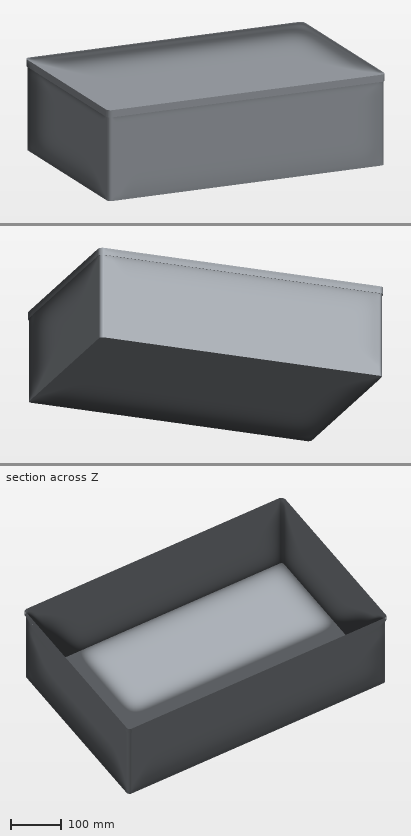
import cadquery as cq

lid_width = 400.0
lid_length = 610.0
total_height = 190.0

sheet_thickness = 1.0

lid_height = 15.0
lid_corner_radius = 10.0

lid_overhang = 2.5

box_width = lid_width - 2 * lid_overhang
box_length = lid_length - 2 * lid_overhang
box_height = total_height - sheet_thickness
box_corner_radius = lid_corner_radius - lid_overhang


def rounded_block(width, length, height, corner_radius, base_z):
    """Block centred on the Z axis, with rounded vertical edges."""
    block = cq.Workplane("XY").workplane(offset=base_z).rect(width, length).extrude(height)
    return block.edges("|Z").fillet(corner_radius)


def sheet_tray(width, length, height, corner_radius, base_z, cavity_base_z):
    """Rounded block hollowed to sheet-thick walls and one sheet-thick closed face."""
    cavity = rounded_block(
        width - 2 * sheet_thickness,
        length - 2 * sheet_thickness,
        height - sheet_thickness,
        corner_radius - sheet_thickness,
        cavity_base_z,
    )
    return rounded_block(width, length, height, corner_radius, base_z).cut(cavity).solids()


box = sheet_tray(box_width, box_length, box_height, box_corner_radius, 0, sheet_thickness)

lid_base_z = total_height - lid_height
lid = sheet_tray(lid_width, lid_length, lid_height, lid_corner_radius, lid_base_z, lid_base_z)

result = cq.Compound.makeCompound([box.val(), lid.val()])